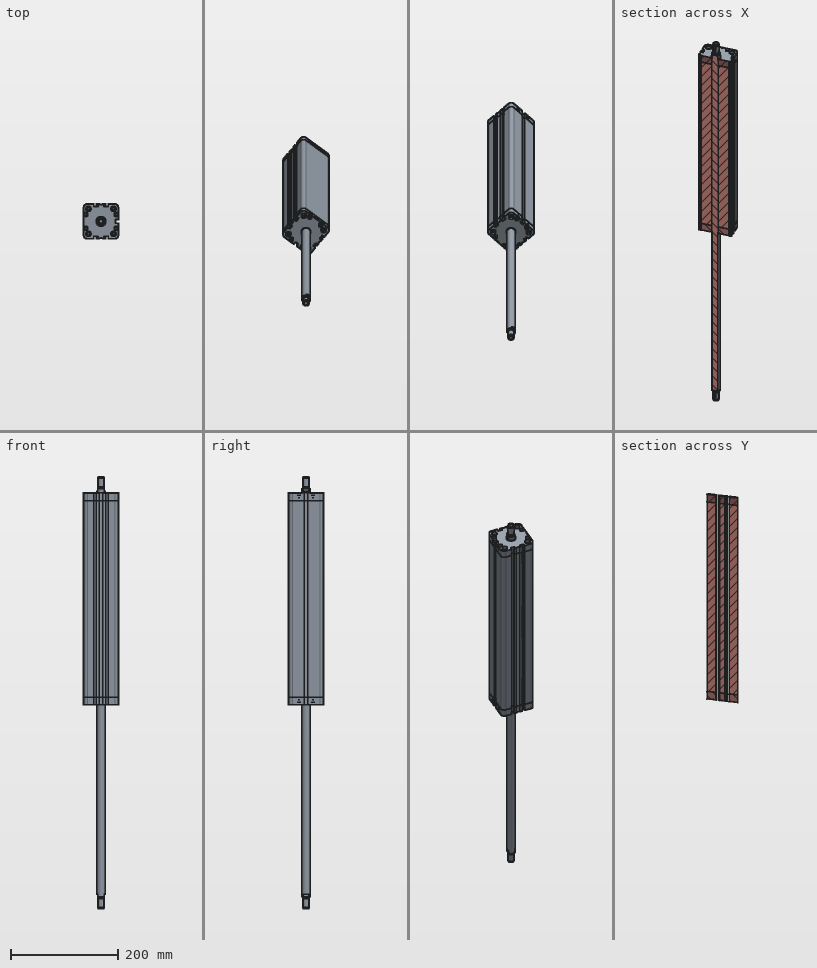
import cadquery as cq

total_length = 805
body_width = 65.0
corner_radius = 7.0
cap_height = 14.5
rod_reach_bottom = 380.0
rod_reach_top = 30.0

slot_outer_wall = 13.3
slot_inner_wall = 8.45
slot_undercut_wall = 6.0
slot_lip = 2.5
slot_depth = 5.0

groove_radius = 6.0
groove_depth = 1.2
side_slot_width = 6.5
side_slot_depth = 5.2

screw_offset = 23.0
screw_head_diameter = 10.0
screw_head_depth = 7.0
screw_socket_diameter = 5.2
screw_socket_depth = 10.5
small_hole_x = 28.0
small_hole_y = 13.0
small_hole_rim_diameter = 7.7
small_hole_rim_depth = 5.0
small_hole_bore_diameter = 5.2
small_hole_bore_depth = 10.0
rod_recess_diameter = 18.0
rod_recess_depth = 2.0

port_rim_diameter = 10.5
port_rim_depth = 1.0
port_bore_diameter = 6.7
port_bore_depth = 8.0
pin_offset = 14.5
pin_rim_diameter = 6.0
pin_rim_depth = 1.0
pin_bore_diameter = 3.5
pin_bore_depth = 4.0

rod_diameter = 16.0
thread_diameter = 12.0
thread_length = 22.5
tip_taper_height = 1.0
tip_taper_length = 2.9
neck_diameter = 10.5
neck_length = 2.0
neck_taper_length = 2.0
flat_width = 13.0
flat_length = 5.0
tip_recess_diameter = 7.7
tip_recess_depth = 1.0

half_width = body_width / 2
body_bottom = rod_reach_bottom
body_top = total_length - rod_reach_top
barrel_bottom = body_bottom + cap_height
barrel_top = body_top - cap_height


def undercut_slot(base, height, side, face):
    """Cutter for one L-shaped slot; side and face are the signs of X and Y."""
    floor_y = face * (half_width - slot_depth)
    lip_y = face * (half_width - slot_lip)
    mouth_y = face * half_width
    return (
        base
        .moveTo(side * slot_outer_wall, mouth_y)
        .lineTo(side * slot_outer_wall, floor_y)
        .lineTo(side * slot_undercut_wall, floor_y)
        .lineTo(side * slot_undercut_wall, lip_y)
        .lineTo(side * slot_inner_wall, lip_y)
        .lineTo(side * slot_inner_wall, mouth_y)
        .close()
        .extrude(height)
    )


def profile_prism(bottom, height):
    """Rounded square bar with its lengthwise slots and grooves and the rod bore."""
    base = cq.Workplane("XY").workplane(offset=bottom)
    prism = base.rect(body_width, body_width).extrude(height).edges("|Z").fillet(corner_radius)

    groove_centre = half_width + groove_radius - groove_depth
    for face in (1, -1):
        for side in (1, -1):
            prism = prism.cut(undercut_slot(base, height, side, face))
        prism = prism.cut(base.moveTo(0, face * groove_centre).circle(groove_radius).extrude(height))

    side_slot = (
        base.moveTo(half_width - side_slot_depth / 2, 0)
        .rect(side_slot_depth, side_slot_width)
        .extrude(height)
    )
    rod_bore = base.circle(rod_diameter / 2).extrude(height)
    return prism.cut(side_slot).cut(rod_bore)


def four_corners(x, y):
    return [(x, y), (-x, y), (-x, -y), (x, -y)]


def cut_holes(cap, plane, points, diameter, depth):
    """Cut blind round holes; depth is signed along the plane's normal."""
    return cap.cut(plane.pushPoints(points).circle(diameter / 2).extrude(depth))


def end_cap(bottom, outer_end, inward):
    """Cap from bottom upward; inward is the Z sign from its outer end into the cap."""
    cap = profile_prism(bottom, cap_height)

    end_plane = cq.Workplane("XY").workplane(offset=outer_end)
    screws = four_corners(screw_offset, screw_offset)
    small_holes = four_corners(small_hole_x, small_hole_y)
    cap = cut_holes(cap, end_plane, screws, screw_head_diameter, inward * screw_head_depth)
    cap = cut_holes(cap, end_plane, screws, screw_socket_diameter, inward * screw_socket_depth)
    cap = cut_holes(cap, end_plane, small_holes, small_hole_rim_diameter, inward * small_hole_rim_depth)
    cap = cut_holes(cap, end_plane, small_holes, small_hole_bore_diameter, inward * small_hole_bore_depth)
    cap = cut_holes(cap, end_plane, [(0, 0)], rod_recess_diameter, inward * rod_recess_depth)

    side_plane = cq.Workplane("YZ", origin=(-half_width, 0, bottom + cap_height / 2))
    port = [(0, 0)]
    pins = [(pin_offset, 0), (-pin_offset, 0)]
    cap = cut_holes(cap, side_plane, port, port_rim_diameter, port_rim_depth)
    cap = cut_holes(cap, side_plane, port, port_bore_diameter, port_bore_depth)
    cap = cut_holes(cap, side_plane, pins, pin_rim_diameter, pin_rim_depth)
    return cut_holes(cap, side_plane, pins, pin_bore_diameter, pin_bore_depth)


def rod_end():
    """Threaded end with tapered tip, relief neck and wrench flats; tip at Z = 0."""
    thread_radius = thread_diameter / 2
    neck_radius = neck_diameter / 2
    neck_start = thread_length - neck_length
    stud = (
        cq.Workplane("XZ")
        .moveTo(0, 0)
        .lineTo(thread_radius - tip_taper_height, 0)
        .lineTo(thread_radius, tip_taper_length)
        .lineTo(thread_radius, neck_start - neck_taper_length)
        .lineTo(neck_radius, neck_start)
        .lineTo(neck_radius, thread_length)
        .lineTo(0, thread_length)
        .close()
        .revolve(360, (0, 0), (0, 1))
    )
    tip_recess = cq.Workplane("XY").circle(tip_recess_diameter / 2).extrude(tip_recess_depth)

    shoulder_plane = cq.Workplane("XY").workplane(offset=thread_length)
    flats_limit = shoulder_plane.rect(flat_width, rod_diameter).extrude(flat_length)
    flats = shoulder_plane.circle(rod_diameter / 2).extrude(flat_length).intersect(flats_limit)
    return stud.cut(tip_recess).union(flats)


def piston_rod():
    end_length = thread_length + flat_length
    shaft = (
        cq.Workplane("XY").workplane(offset=end_length)
        .circle(rod_diameter / 2)
        .extrude(total_length - 2 * end_length)
    )
    lower_end = rod_end()
    upper_end = lower_end.mirror("XY").translate((0, 0, total_length))
    return shaft.union(lower_end).union(upper_end)


barrel = profile_prism(barrel_bottom, barrel_top - barrel_bottom)
bottom_cap = end_cap(body_bottom, body_bottom, 1)
top_cap = end_cap(barrel_top, body_top, -1)
rod = piston_rod()

result = cq.Compound.makeCompound([barrel.val(), bottom_cap.val(), top_cap.val(), rod.val()])